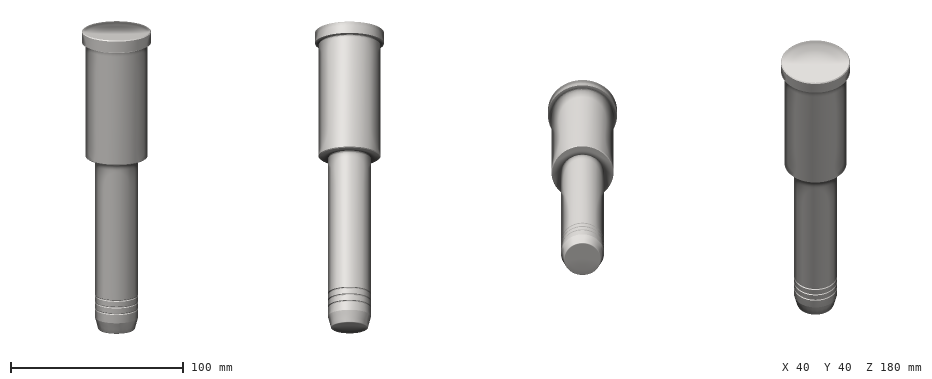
import cadquery as cq
import math

total_height = 180.0

head_diameter = 40.0
head_height = 7.0
head_chamfer = 0.5

body_diameter = 36.0
body_height = 69.0
body_chamfer = 0.5

pin_diameter = 25.0

pin_relief_width = 1.0
pin_relief_depth = 0.5

flared_groove_width = 1.0
flared_groove_depth = 0.5
flared_groove_floor_width = 0.4
ring_groove_count = 3
ring_groove_pitch = 4.0
lowest_groove_center = 12.5

lead_in_height = 7.0
lead_in_angle = 15.0
tip_fillet = 0.5

head_bottom = total_height - head_height
body_bottom = head_bottom - body_height


def cylinder(diameter, bottom, height):
    """Upright cylinder on the Z axis."""
    return cq.Workplane("XY").workplane(offset=bottom).circle(diameter / 2).extrude(height)


def square_groove(diameter, bottom, width, depth):
    """Ring to cut a square groove into a shaft of the given diameter."""
    return cylinder(diameter, bottom, width).cut(cylinder(diameter - 2 * depth, bottom, width))


def flared_groove(diameter, center_height):
    """Ring to cut a groove with sloping flanks into a shaft of the given diameter."""
    radius = diameter / 2
    half_width = flared_groove_width / 2
    half_floor = flared_groove_floor_width / 2
    floor_radius = radius - flared_groove_depth
    section = (
        cq.Workplane("XZ")
        .moveTo(radius, center_height - half_width)
        .lineTo(floor_radius, center_height - half_floor)
        .lineTo(floor_radius, center_height + half_floor)
        .lineTo(radius, center_height + half_width)
        .close()
    )
    return section.revolve(360, (0, 0, 0), (0, 1, 0))


def make_head():
    return cylinder(head_diameter, head_bottom, head_height).faces(">Z").chamfer(head_chamfer)


def make_body():
    body = cylinder(body_diameter, body_bottom, body_height).faces("<Z").chamfer(body_chamfer)
    return body.cut(flared_groove(body_diameter, head_bottom - flared_groove_width / 2))


def make_lead_in():
    taper = lead_in_height * math.tan(math.radians(lead_in_angle))
    profile = (
        cq.Workplane("XZ")
        .lineTo(pin_diameter / 2 - taper, 0)
        .lineTo(pin_diameter / 2, lead_in_height)
        .lineTo(0, lead_in_height)
        .close()
    )
    return profile.revolve(360, (0, 0, 0), (0, 1, 0)).faces("<Z").edges().fillet(tip_fillet)


def make_pin():
    shaft = cylinder(pin_diameter, lead_in_height, body_bottom - lead_in_height)
    relief_bottom = body_bottom - pin_relief_width
    shaft = shaft.cut(square_groove(pin_diameter, relief_bottom, pin_relief_width, pin_relief_depth))
    for index in range(ring_groove_count):
        center_height = lowest_groove_center + index * ring_groove_pitch
        shaft = shaft.cut(flared_groove(pin_diameter, center_height))
    return shaft.union(make_lead_in())


result = make_head().union(make_body()).union(make_pin())